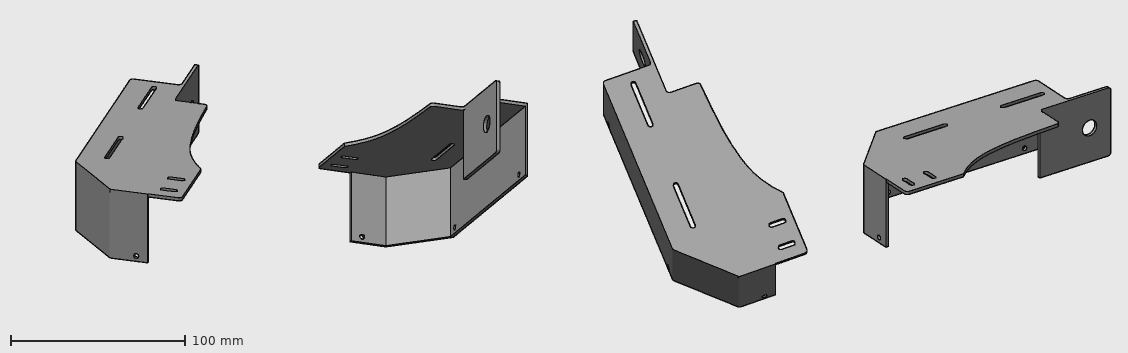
import cadquery as cq

length = 172.0
width = 72.0
height = 44.0
sheet = 2.0
corner_radius = sheet
end_radius = 1.9
bevel = 29.5

side_wall_end = 142.5
front_wall_end = 52.0

plate_setback = 0.3
shoulder_y = 122.1
curve_end_y = 40.2

tab_outer_x = 32.2
tab_inner_x = tab_outer_x - sheet
tab_hole_diameter = 10.0
tab_hole_from_end = 15.0

small_diameter = 3.0
hole_z = 3.5
side_hole_ys = (36.8, 132.6)
front_hole_x = 45.0
long_slot_length = 30.3
long_slot_x = 16.2
long_slot_ys = (53.1, 121.1)
short_slot_length = 10.1
short_slot_x = 62.1
short_slot_ys = (8.8, 23.7)


def make_walls():
    """Left, diagonal and front walls bent from one strip, open at the bottom."""
    outside = (
        cq.Workplane("XY")
        .moveTo(0, side_wall_end)
        .lineTo(0, bevel)
        .lineTo(bevel, 0)
        .lineTo(front_wall_end, 0)
        .lineTo(front_wall_end, side_wall_end)
        .close()
        .extrude(height)
    )
    inner_bevel = bevel + sheet * (2 ** 0.5 - 1)
    inside = (
        cq.Workplane("XY")
        .moveTo(sheet, side_wall_end)
        .lineTo(sheet, inner_bevel)
        .lineTo(inner_bevel, sheet)
        .lineTo(front_wall_end, sheet)
        .lineTo(front_wall_end, side_wall_end)
        .close()
        .extrude(height)
    )
    walls = outside.cut(inside)
    for x, y in ((0, bevel), (bevel, 0)):
        walls = round_upright_edge(walls, x, y)
    return round_upright_edge(walls, 0, side_wall_end, end_radius)


def round_upright_edge(body, x, y, radius=corner_radius):
    """Fillet the vertical edge nearest to the given plan position."""
    edge = cq.selectors.NearestToPointSelector((x, y, height - sheet / 2))
    return body.edges("|Z").edges(edge).fillet(radius)


def make_plate():
    """Cover plate with a stepped rear end and a concave right edge."""
    front_x = bevel - plate_setback
    stub_end = side_wall_end + 2 * corner_radius
    curve_points = [(65.9, 48.2), (60.5, 58.1), (56.2, 73.3), (53.7, 91.5), (front_wall_end, shoulder_y)]
    plate = (
        cq.Workplane("XY")
        .workplane(offset=height - sheet)
        .moveTo(0, side_wall_end)
        .lineTo(0, bevel)
        .lineTo(front_x, plate_setback)
        .lineTo(width, plate_setback)
        .lineTo(width, curve_end_y)
        .spline(curve_points, includeCurrent=True)
        .lineTo(tab_outer_x, shoulder_y)
        .lineTo(tab_outer_x, stub_end)
        .lineTo(tab_inner_x, stub_end)
        .lineTo(tab_inner_x, side_wall_end)
        .close()
        .extrude(sheet)
    )
    rounded_corners = (
        (0, bevel),
        (tab_inner_x, side_wall_end),
        (tab_outer_x, shoulder_y),
        (width, plate_setback),
        (front_wall_end, shoulder_y),
    )
    for x, y in rounded_corners:
        plate = round_upright_edge(plate, x, y)
    return round_upright_edge(plate, 0, side_wall_end, end_radius)


def make_tab():
    """Upright mounting tab running rearward from the plate shoulder."""
    tab = (
        cq.Workplane("XY")
        .box(sheet, length - shoulder_y, height, centered=False)
        .translate((tab_inner_x, shoulder_y, 0))
        .faces(">Y")
        .edges("|X")
        .fillet(corner_radius)
    )
    return tab.cut(drill_along_x(length - tab_hole_from_end, height / 2, tab_hole_diameter, 0, width))


def drill_along_x(y, z, diameter, start_x, depth):
    """Cylinder running in +X."""
    return cq.Workplane("YZ", origin=(start_x, y, z)).circle(diameter / 2).extrude(depth)


def cut_wall_holes(body):
    for y in side_hole_ys:
        body = body.cut(drill_along_x(y, hole_z, small_diameter, 0, sheet))
    front_hole = (
        cq.Workplane("XZ", origin=(front_hole_x, 0, hole_z))
        .circle(small_diameter / 2)
        .extrude(-sheet)
    )
    return body.cut(front_hole)


def cut_slots(body):
    slot_rows = (
        (long_slot_x, long_slot_ys, long_slot_length, 90),
        (short_slot_x, short_slot_ys, short_slot_length, 0),
    )
    for x, ys, slot_length, angle in slot_rows:
        slots = (
            cq.Workplane("XY")
            .workplane(offset=height - sheet)
            .pushPoints([(x, y) for y in ys])
            .slot2D(slot_length, small_diameter, angle)
            .extrude(sheet)
        )
        body = body.cut(slots)
    return body


cover = make_walls().union(make_plate()).union(make_tab())
result = cut_slots(cut_wall_holes(cover))